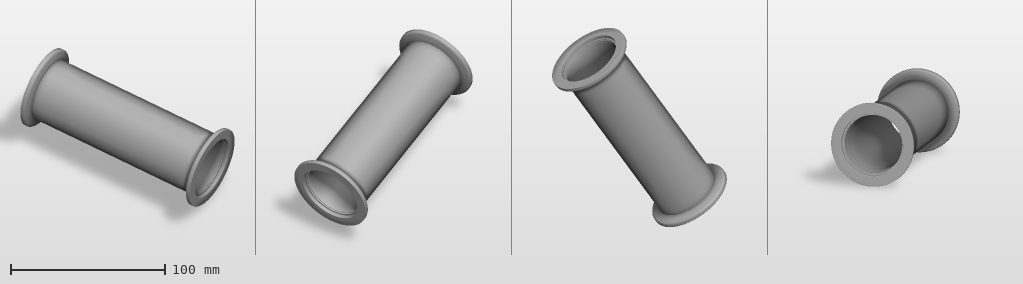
import cadquery as cq
import math

length = 130.0
flange_diameter = 55.0

tube_diameter = 42.2
bore_diameter = 38.5

flange_thickness = 4.8
cone_angle = 15.0
rim_fillet = 1.5
face_fillet = 0.3
recess_diameter = 41.3
recess_depth = 2.6
lip_diameter = 39.3
lip_thickness = 0.9

flange_radius = flange_diameter / 2
tube_radius = tube_diameter / 2
recess_radius = recess_diameter / 2
bore_radius = bore_diameter / 2
lip_radius = lip_diameter / 2
socket_floor = recess_depth + lip_thickness
cone_run = (flange_radius - tube_radius) * math.tan(math.radians(cone_angle))
rim_width = flange_thickness - cone_run


def make_tube():
    """Plain tube whose ends sit in the sockets of the two flanges."""
    return (
        cq.Workplane("YZ", origin=(-length / 2 + socket_floor, 0, 0))
        .circle(tube_radius)
        .circle(bore_radius)
        .extrude(length - 2 * socket_floor)
    )


def make_flange():
    """Flange at the -X end, with a conical clamping face and a tube socket behind the recess lip."""
    blank = (
        cq.Workplane("XY")
        .moveTo(0, 0)
        .lineTo(0, flange_radius)
        .lineTo(rim_width, flange_radius)
        .lineTo(flange_thickness, tube_radius)
        .lineTo(flange_thickness, 0)
        .close()
        .revolve(360, (0, 0, 0), (1, 0, 0))
    )
    rim_back_edge = cq.selectors.BoxSelector(
        (rim_width - face_fillet, -flange_diameter, -flange_diameter),
        (rim_width + face_fillet, flange_diameter, flange_diameter),
        boundingbox=True,
    )
    blank = blank.edges(rim_back_edge).fillet(rim_fillet)
    lip_bore = cq.Workplane("YZ").circle(lip_radius).extrude(flange_thickness)
    recess = cq.Workplane("YZ").circle(recess_radius).extrude(recess_depth)
    socket = (
        cq.Workplane("YZ", origin=(socket_floor, 0, 0))
        .circle(tube_radius)
        .extrude(flange_thickness - socket_floor)
    )
    flange = blank.cut(lip_bore).cut(recess).cut(socket)
    flange = flange.faces("<X").edges().fillet(face_fillet)
    return flange.translate((-length / 2, 0, 0))


tube = make_tube()
near_flange = make_flange()
flanges = [near_flange, near_flange.mirror("YZ")]

result = cq.Compound.makeCompound([tube.val(), *[flange.val() for flange in flanges]])